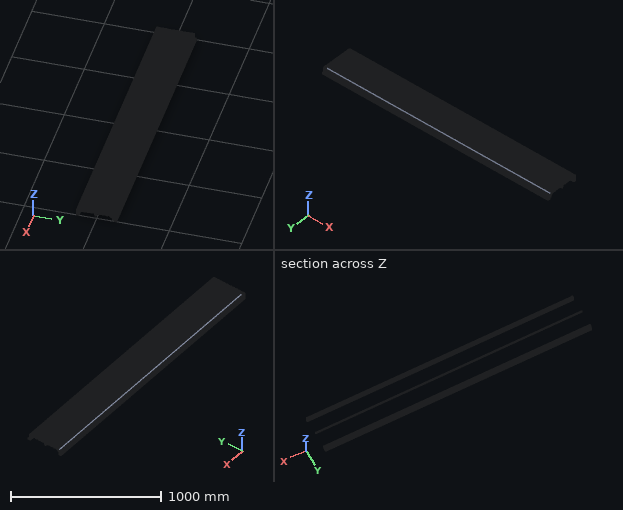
import cadquery as cq

LENGTH = 2000.0
WIDTH = 272.0
HEIGHT = 45.0
DECK_WIDTH = 260.0
DECK_CENTRE = DECK_WIDTH / 2
WALL = 3.0
EDGE_RADIUS = 5.0
LAND_WIDTH = 12.0

RIDGE_BASE = 11.0
RIDGE_HEIGHT = 2.5
RIDGE_PITCH = 24.8
RIDGES_PER_SIDE = 5
FIRST_RIDGE_OFFSET = 15.0

SKIN_TOP = -RIDGE_HEIGHT
SKIN_BOTTOM = -4.8
RIB_WIDTH = 7.0
RIB_DEPTH = 8.0

BORE_DIAMETER = 7.2
PORT_WIDTH = BORE_DIAMETER + 2 * WALL
LEG_PORT_DEPTH = 25.0
CENTRE_PORT_DEPTH = 10.0
STEM_WIDTH = 3.0
STEM_DEPTH = 25.0

PORT_TOP = -LEG_PORT_DEPTH + PORT_WIDTH / 2
PORT_BOTTOM = -LEG_PORT_DEPTH - PORT_WIDTH / 2
BRACE_REACH = 35.0
BRACE_WIDTH = 8.0

FOOT_TOP = -37.0
FOOT_SHELF = 7.0
FOOT_TIP_HEIGHT = 3.0
FOOT_TOE_INSET = 3.0


def bar(points):
    """Extrude a closed (Y, Z) outline along the whole plank."""
    return cq.Workplane("YZ").polyline(points).close().extrude(LENGTH)


def block(y_min, y_max, z_min, z_max):
    """Full-length rectangular bar."""
    return bar([(y_min, z_min), (y_max, z_min), (y_max, z_max), (y_min, z_max)])


def centred_block(y, width, z_min, z_max):
    """Full-length rectangular bar centred on y."""
    return block(y - width / 2, y + width / 2, z_min, z_max)


def bore(y, depth):
    """Full-length round cutter."""
    return cq.Workplane("YZ").center(y, -depth).circle(BORE_DIAMETER / 2).extrude(LENGTH)


def ridge(y):
    """Grip ridge centred on y: a flat crest between 45-degree flanks."""
    foot = RIDGE_BASE / 2
    crest = foot - RIDGE_HEIGHT
    return bar([
        (y - foot, SKIN_BOTTOM),
        (y + foot, SKIN_BOTTOM),
        (y + foot, SKIN_TOP),
        (y + crest, 0),
        (y - crest, 0),
        (y - foot, SKIN_TOP),
    ])


def upper_leg():
    """Front leg down to its screw port: rounded land, wall, diagonal brace and port."""
    land = block(0, LAND_WIDTH, PORT_TOP, 0).edges("|X and >Z and <Y").fillet(EDGE_RADIUS)
    recess = block(WALL, LAND_WIDTH, PORT_TOP, SKIN_BOTTOM)
    brace = bar([
        (PORT_WIDTH - WALL, PORT_TOP),
        (PORT_WIDTH, PORT_TOP - WALL),
        (BRACE_REACH, SKIN_BOTTOM),
        (BRACE_REACH - BRACE_WIDTH, SKIN_BOTTOM),
    ])
    port = block(0, PORT_WIDTH, PORT_BOTTOM, PORT_TOP)
    return land.cut(recess).union(brace).union(port)


def front_foot():
    """Box section below the front port."""
    box = block(0, PORT_WIDTH, -HEIGHT, PORT_BOTTOM)
    cavity = block(WALL, PORT_WIDTH - WALL, -HEIGHT + WALL, PORT_BOTTOM)
    return box.cut(cavity)


def rear_foot():
    """Tapering foot below the rear port, flaring outwards to a thin tip."""
    return bar([
        (DECK_WIDTH, PORT_BOTTOM),
        (DECK_WIDTH, FOOT_TOP),
        (DECK_WIDTH + FOOT_SHELF, FOOT_TOP),
        (WIDTH, -HEIGHT + FOOT_TIP_HEIGHT),
        (WIDTH, -HEIGHT),
        (DECK_WIDTH - FOOT_TOE_INSET, -HEIGHT),
        (DECK_WIDTH - FOOT_TOE_INSET, FOOT_TOP),
        (DECK_WIDTH - PORT_WIDTH, PORT_BOTTOM),
    ])


result = block(EDGE_RADIUS, DECK_WIDTH - EDGE_RADIUS, SKIN_BOTTOM, SKIN_TOP)
for side in (-1, 1):
    for index in range(RIDGES_PER_SIDE):
        ridge_offset = FIRST_RIDGE_OFFSET + index * RIDGE_PITCH
        result = result.union(ridge(DECK_CENTRE + side * ridge_offset))
    for index in range(RIDGES_PER_SIDE - 1):
        rib_offset = FIRST_RIDGE_OFFSET + (index + 0.5) * RIDGE_PITCH
        rib_y = DECK_CENTRE + side * rib_offset
        result = result.union(centred_block(rib_y, RIB_WIDTH, -RIB_DEPTH, SKIN_TOP))

centre_port_bottom = -CENTRE_PORT_DEPTH - PORT_WIDTH / 2
result = result.union(centred_block(DECK_CENTRE, PORT_WIDTH, centre_port_bottom, SKIN_TOP))
result = result.union(centred_block(DECK_CENTRE, STEM_WIDTH, -STEM_DEPTH, centre_port_bottom))

front_upper_leg = upper_leg()
rear_upper_leg = front_upper_leg.mirror("XZ", (0, DECK_CENTRE, 0))
for leg_part in (front_upper_leg, rear_upper_leg, front_foot(), rear_foot()):
    result = result.union(leg_part)

result = result.cut(bore(DECK_CENTRE, CENTRE_PORT_DEPTH))
for bore_y in (PORT_WIDTH / 2, DECK_WIDTH - PORT_WIDTH / 2):
    result = result.cut(bore(bore_y, LEG_PORT_DEPTH))